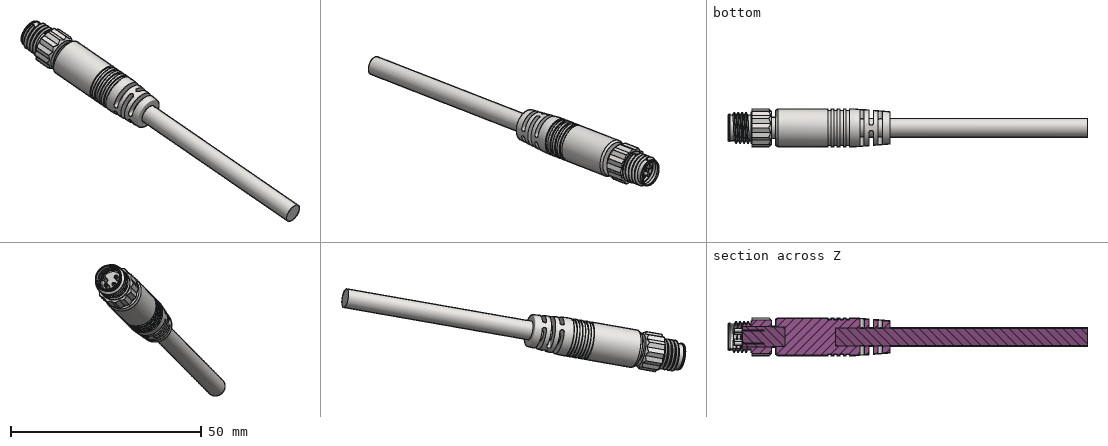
import cadquery as cq
import math

total_length = 94.7
body_radius = 5.0
cable_diameter = 5.0
cable_radius = cable_diameter / 2

thread_pitch = 1.0
thread_crest_radius = 4.1
thread_root_radius = 3.4
thread_start = 0.9
thread_half_share = 0.45
thread_turns = 4
thread_crest_width = 0.14
thread_embed = 0.1
tip_radius = 3.6
tip_length = 0.6
tip_front_radius = 3.3
tip_chamfer_length = 0.4
nut_bore_radius = 2.8
socket_radius = 3.2
socket_depth = 3.8
collar_start = 6.1
collar_radius = 4.2
knurl_start = 6.3
nut_end = 11.6
knurl_count = 12
knurl_ridge_radius = body_radius
knurl_valley_radius = 4.5
knurl_chamfer = 0.8

carrier_front = socket_depth
carrier_radius = nut_bore_radius
carrier_end = 15.15
pin_radius = 0.5
pin_front = 1.4
pin_chamfer = 0.3
pin_end = 9.5
pin_circle_radius = 1.8
pin_angles = (18, 162, 232, 308)

grip_start = 12.6
grip_front_chamfer_length = 0.7
grip_front_chamfer_drop = 0.4
grip_back_fillet = 0.3
groove_start = 26.3
groove_pitch = 1.6
groove_count = 4
groove_width = 0.85
groove_depth = 0.4
taper_start = 33.2
taper_end_radius = 4.3
grip_end = 42.7
first_slot_start = 34.8
last_slot_start = 39.6
slot_count = 3
slot_pitch = (last_slot_start - first_slot_start) / (slot_count - 1)
slot_width = 1.1
bridge_half_width = 0.71

cable_start = 28.4


def cylinder(start, end, radius):
    """Solid cylinder along X."""
    return cq.Workplane("YZ", origin=(start, 0, 0)).circle(radius).extrude(end - start)


def revolved(points):
    """Solid of revolution about X from (x, radius) points."""
    return cq.Workplane("XY").polyline(points).close().revolve(360, (0, 0, 0), (1, 0, 0))


def make_ring(start, end, inner_radius):
    """Ring cutter that reaches from the inner radius to well outside the body."""
    return cylinder(start, end, 2 * body_radius).cut(cylinder(start, end, inner_radius))


def make_thread():
    """Right-handed helical ridge that starts at the top (+Z), made along Z and laid onto the X axis."""
    base_half = thread_pitch * thread_half_share
    crest_half = thread_crest_width / 2
    base_radius = thread_root_radius - thread_embed
    height = thread_turns * thread_pitch
    helix = cq.Wire.makeHelix(thread_pitch, height, thread_root_radius)
    profile = (
        cq.Workplane("XZ")
        .moveTo(base_radius, -base_half)
        .lineTo(thread_crest_radius, -crest_half)
        .lineTo(thread_crest_radius, crest_half)
        .lineTo(base_radius, base_half)
        .close()
    )
    ridge = profile.sweep(cq.Workplane(obj=helix), isFrenet=True)
    ridge = ridge.rotate((0, 0, 0), (0, 0, 1), 180).rotate((0, 0, 0), (0, 1, 0), 90)
    return ridge.translate((thread_start + base_half, 0, 0))


def make_knurl():
    """Star-shaped grip of ridges and shallow V valleys, with a chamfered back edge."""
    points = []
    for index in range(2 * knurl_count):
        angle = math.pi * index / knurl_count
        radius = knurl_valley_radius if index % 2 else knurl_ridge_radius
        points.append((radius * math.cos(angle), radius * math.sin(angle)))
    outline = cq.Workplane("YZ", origin=(knurl_start, 0, 0)).polyline(points).close()
    star = outline.extrude(nut_end - knurl_start)
    envelope = revolved([
        (knurl_start, 0),
        (knurl_start, knurl_ridge_radius),
        (nut_end - knurl_chamfer, knurl_ridge_radius),
        (nut_end, knurl_ridge_radius - knurl_chamfer),
        (nut_end, 0),
    ])
    return star.intersect(envelope)


def make_nut():
    """Sleeve with a chamfered tip, thread, collar and knurl, bored for the carrier behind a wider socket."""
    sleeve = cylinder(0, knurl_start, thread_root_radius)
    tip = revolved([
        (0, 0),
        (0, tip_front_radius),
        (tip_chamfer_length, tip_radius),
        (tip_length, tip_radius),
        (tip_length, 0),
    ])
    collar = cylinder(collar_start, knurl_start, collar_radius)
    nut = sleeve.union(tip).union(collar).union(make_knurl()).union(make_thread())
    bore = cylinder(0, nut_end, nut_bore_radius)
    socket = cylinder(0, socket_depth, socket_radius)
    return nut.cut(bore).cut(socket)


def make_pins():
    """Contact pins with chamfered tips, standing on a common circle."""
    pins = []
    for angle in pin_angles:
        y = pin_circle_radius * math.cos(math.radians(angle))
        z = pin_circle_radius * math.sin(math.radians(angle))
        pin = cylinder(pin_front, pin_end, pin_radius).faces("<X").chamfer(pin_chamfer)
        pins.append(pin.translate((0, y, z)))
    return pins


def make_carrier(pins):
    """Cylinder that holds the pins and joins the nut to the grip."""
    carrier = cylinder(carrier_front, carrier_end, carrier_radius)
    for pin in pins:
        carrier = carrier.cut(pin)
    return carrier


def make_slot(start, turn):
    """Ring slot down to the cable, interrupted by two opposite bridges; turn is about X in degrees."""
    ring = make_ring(start, start + slot_width, cable_radius)
    end_round_height = bridge_half_width + slot_width / 2
    bridge = cq.Workplane("XY").box(slot_width, 4 * body_radius, 2 * end_round_height)
    for side in (1, -1):
        end_round = (
            cq.Workplane("XZ")
            .center(0, side * end_round_height)
            .circle(slot_width / 2)
            .extrude(2 * body_radius, both=True)
        )
        bridge = bridge.cut(end_round)
    bridge = bridge.translate((start + slot_width / 2, 0, 0))
    return ring.cut(bridge).rotate((0, 0, 0), (1, 0, 0), turn)


def make_grip():
    """Grip body with ring grooves, a slotted tapering back, a carrier seat and a cable hole."""
    grip = revolved([
        (grip_start, 0),
        (grip_start, body_radius - grip_front_chamfer_drop),
        (grip_start + grip_front_chamfer_length, body_radius),
        (taper_start, body_radius),
        (grip_end, taper_end_radius),
        (grip_end, 0),
    ])
    grip = grip.faces(">X").edges().fillet(grip_back_fillet)
    for index in range(groove_count):
        start = groove_start + index * groove_pitch
        grip = grip.cut(make_ring(start, start + groove_width, body_radius - groove_depth))
    for index in range(slot_count):
        turn = 90 * (index % 2)
        grip = grip.cut(make_slot(first_slot_start + index * slot_pitch, turn))
    cable_hole = cylinder(cable_start, grip_end, cable_radius)
    carrier_seat = cylinder(grip_start, carrier_end, carrier_radius)
    return grip.cut(cable_hole).cut(carrier_seat)


pins = make_pins()
carrier = make_carrier(pins)
nut = make_nut()
grip = make_grip()
cable = cylinder(cable_start, total_length, cable_radius)

result = cq.Compound.makeCompound([
    nut.val(),
    carrier.val(),
    *[pin.val() for pin in pins],
    grip.val(),
    cable.val(),
])